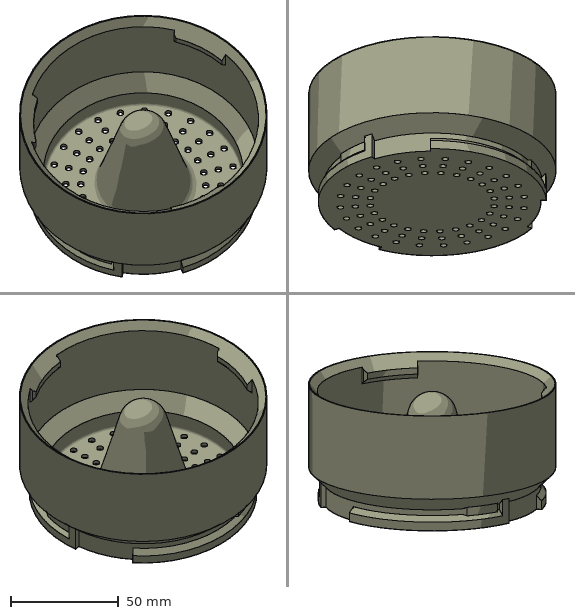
import cadquery as cq
import math

height = 56.5
outer_radius = 57.5
neck_radius = 50.5
outer_cone_bottom = 9.5
rim_land = 0.5

bore_radius = 53.5
drain_radius = 46.5
inner_cone_top = 18.0
floor_thickness = 2.0
floor_fillet = 1.5

dome_radius = 11.4
dome_top = 52.5
dome_flat_radius = 1.4
cone_half_angle = 15.3
hub_fillet = 6.0

hole_diameter = 3.0
hole_count = 24
hole_ring_radii = (29.0, 36.0, 43.0)

repeats = 3
bead_radius = 53.0
bead_edge_height = 4.25
bead_start = 201.0
stop_start = 285.7
stop_end = 290.0
stop_top = 12.0
catch_radius = 51.2
catch_bottom = 5.9
catch_top = 10.2
catch_start = 264.0
catch_end = 283.9
catch_ramp = 2.0

lug_radius = 51.0
lug_face_height = 3.0
lug_start = 75.0
lug_end = 105.0
lug_corner_angle = 1.5
lug_corner_depth = 1.4

outer_cone_top = outer_cone_bottom + outer_radius - neck_radius
inner_cone_bottom = inner_cone_top - (bore_radius - drain_radius)
rim_chamfer_radius = outer_radius - rim_land
embed = 1.0


def polar(radius, angle):
    a = math.radians(angle)
    return (radius * math.cos(a), radius * math.sin(a))


def revolve(profile, start=0.0, end=360.0):
    """Closed (radius, height) profile turned about Z between two angles."""
    turned = profile.close().revolve(end - start, (0, 0, 0), (0, 1, 0))
    return turned.rotate((0, 0, 0), (0, 0, 1), start)


def ring_block(outer, start, end, bottom, top):
    """Rectangular ring sector rooted in the neck wall."""
    root = neck_radius - embed
    profile = (
        cq.Workplane("XZ")
        .moveTo(root, bottom)
        .lineTo(outer, bottom)
        .lineTo(outer, top)
        .lineTo(root, top)
    )
    return revolve(profile, start, end)


def add_around(body, shape):
    """Body with the shape added evenly about the Z axis."""
    for i in range(repeats):
        body = body.union(shape.rotate((0, 0, 0), (0, 0, 1), 360 * i / repeats))
    return body


def trim_corner(shape, first, second, beyond):
    """Shape without the vertical corner outside the line first-second."""
    return shape.cut(cq.Workplane("XY").polyline([first, second, beyond]).close().extrude(height))


def make_cup():
    profile = (
        cq.Workplane("XZ")
        .lineTo(neck_radius, 0)
        .lineTo(neck_radius, outer_cone_bottom)
        .lineTo(outer_radius, outer_cone_top)
        .lineTo(outer_radius, height)
        .lineTo(bore_radius, height)
        .lineTo(bore_radius, inner_cone_top)
        .lineTo(drain_radius, inner_cone_bottom)
        .lineTo(drain_radius, floor_thickness + floor_fillet)
        .radiusArc((drain_radius - floor_fillet, floor_thickness), floor_fillet)
        .lineTo(0, floor_thickness)
    )
    return revolve(profile)


def make_hub():
    sin_a = math.sin(math.radians(cone_half_angle))
    cos_a = math.cos(math.radians(cone_half_angle))
    dome_center = dome_top - dome_radius
    flat_height = dome_center + math.sqrt(dome_radius**2 - dome_flat_radius**2)
    cone_top = (dome_radius * cos_a, dome_center + dome_radius * sin_a)
    fillet_top = floor_thickness + hub_fillet * (1 - sin_a)
    cone_bottom_radius = cone_top[0] + (cone_top[1] - fillet_top) * sin_a / cos_a
    foot_radius = cone_bottom_radius + hub_fillet * cos_a
    profile = (
        cq.Workplane("XZ")
        .lineTo(foot_radius, 0)
        .lineTo(foot_radius, floor_thickness)
        .radiusArc((cone_bottom_radius, fillet_top), hub_fillet)
        .lineTo(*cone_top)
        .radiusArc((dome_flat_radius, flat_height), -dome_radius)
        .lineTo(0, flat_height)
    )
    return revolve(profile)


def make_holes():
    centers = [
        polar(radius, 360 * i / hole_count)
        for radius in hole_ring_radii
        for i in range(hole_count)
    ]
    return cq.Workplane("XY").pushPoints(centers).circle(hole_diameter / 2).extrude(floor_thickness)


def make_bead():
    bead_top = bead_edge_height + bead_radius - neck_radius
    root = neck_radius - embed
    profile = (
        cq.Workplane("XZ")
        .moveTo(root, 0)
        .lineTo(bead_radius, 0)
        .lineTo(bead_radius, bead_edge_height)
        .lineTo(neck_radius, bead_top)
        .lineTo(root, bead_top)
    )
    return revolve(profile, bead_start, stop_start)


def make_stop():
    return ring_block(bead_radius, stop_start, stop_end, 0, stop_top)


def make_catch():
    block = ring_block(catch_radius, catch_start, catch_end, catch_bottom, catch_top)
    return trim_corner(
        block,
        polar(catch_radius, catch_start + catch_ramp),
        polar(neck_radius, catch_start),
        polar(catch_radius + embed, catch_start - catch_ramp),
    )


def make_lug():
    """Lug with a sloping underside and a square top, which the rim chamfer later trims."""
    root = bore_radius + embed
    face_bottom = height - (rim_chamfer_radius - lug_radius) - lug_face_height
    profile = (
        cq.Workplane("XZ")
        .moveTo(lug_radius, face_bottom)
        .lineTo(lug_radius, height)
        .lineTo(root, height)
        .lineTo(root, face_bottom - (root - lug_radius))
    )
    return trim_corner(
        revolve(profile, lug_start, lug_end),
        polar(lug_radius, lug_end - lug_corner_angle),
        polar(lug_radius + lug_corner_depth, lug_end),
        polar(lug_radius - embed, lug_end + lug_corner_angle),
    )


def make_rim_chamfer():
    """Triangular ring that bevels the rim and the lug tops at 45 degrees."""
    inner_radius = lug_radius - embed
    profile = (
        cq.Workplane("XZ")
        .moveTo(inner_radius, height)
        .lineTo(rim_chamfer_radius, height)
        .lineTo(inner_radius, height - (rim_chamfer_radius - inner_radius))
    )
    return revolve(profile)


result = make_cup().union(make_hub()).cut(make_holes())
for feature in (make_bead(), make_stop(), make_catch(), make_lug()):
    result = add_around(result, feature)
result = result.cut(make_rim_chamfer())